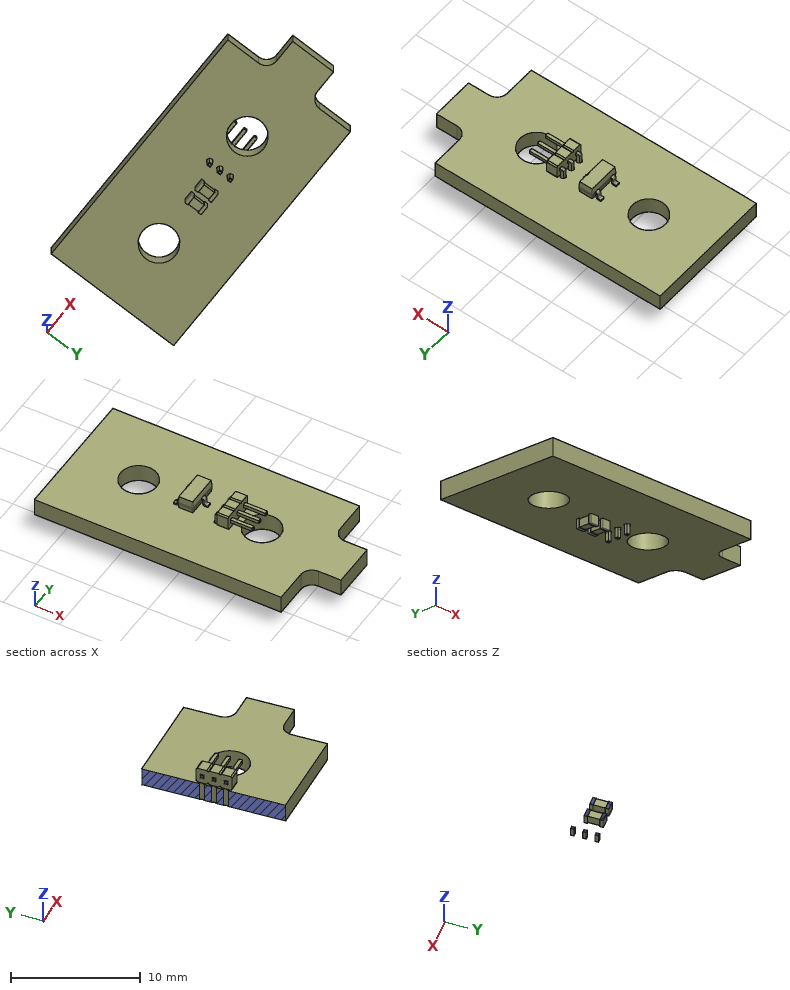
import cadquery as cq


BOARD_LENGTH = 22.0
BOARD_WIDTH = 12.0
BOARD_THICKNESS = 1.57
TAB_LENGTH = 3.0
TAB_WIDTH = 4.0
TAB_CORNER_RADIUS = 1.0
MOUNT_HOLE_DIAMETER = 3.2
MOUNT_HOLE_X = (5.8, 16.8)
PIN_HOLE_DIAMETER = 0.5

STANDOFF = 0.03

SOT_X = 10.76
SOT_Y = 0.11
SOT_LENGTH = 3.0
SOT_WIDTH = 1.38
SOT_TOP = 1.3
SOT_BOTTOM = 0.18
SOT_DRAFT = 8.0
SOT_CORNER_RADIUS = 0.1
LEAD_THICKNESS = 0.15
LEAD_WIDTH = 0.4
LEAD_PITCH = 1.9
LEAD_SPAN = 2.5
LEAD_LEG_SPAN = 1.86
LEAD_BEND_RADIUS = 0.08
SOT_BAND_BOTTOM = 0.6
SOT_BAND_TOP = SOT_BAND_BOTTOM + LEAD_THICKNESS

PIN_COUNT = 3
PIN_PITCH = 1.0
PIN_SIZE = 0.3
PIN_X = 13.42
PIN_ROW_Y = -0.02
PIN_TAIL_BOTTOM = -2.42
PIN_BEND_RADIUS = 0.15
PIN_TIP_CHAMFER = 0.06
HEADER_START_X = 13.65
HEADER_DEPTH = 1.0
HEADER_TOP = 1.35
HEADER_HEIGHT = HEADER_TOP - STANDOFF
HEADER_CHAMFER = 0.115
PIN_REACH = 2.0
PIN_Y = [PIN_ROW_Y + (i - (PIN_COUNT - 1) / 2) * PIN_PITCH for i in range(PIN_COUNT)]

CAPACITOR_X = (10.24, 11.52)
CAPACITOR_Y = 0.15
CAPACITOR_LENGTH = 1.6
CAPACITOR_SIZE = 0.82
TERMINAL_LENGTH = 0.3
TERMINAL_FILLET = 0.02
CAPACITOR_INSET = 0.06


def make_board():
    """Plate with a narrower end tab, two mounting holes and a hole for each header pin."""
    half_width = BOARD_WIDTH / 2
    half_tab = TAB_WIDTH / 2
    tab_root = half_tab + TAB_CORNER_RADIUS
    tab_start = BOARD_LENGTH + TAB_CORNER_RADIUS
    tab_end = BOARD_LENGTH + TAB_LENGTH
    board = (
        cq.Workplane("XY")
        .moveTo(0, -half_width)
        .lineTo(BOARD_LENGTH, -half_width)
        .lineTo(BOARD_LENGTH, -tab_root)
        .radiusArc((tab_start, -half_tab), TAB_CORNER_RADIUS)
        .lineTo(tab_end, -half_tab)
        .lineTo(tab_end, half_tab)
        .lineTo(tab_start, half_tab)
        .radiusArc((BOARD_LENGTH, tab_root), TAB_CORNER_RADIUS)
        .lineTo(BOARD_LENGTH, half_width)
        .lineTo(0, half_width)
        .close()
        .extrude(-BOARD_THICKNESS)
    )
    mount_holes = (
        cq.Workplane("XY")
        .pushPoints([(x, 0) for x in MOUNT_HOLE_X])
        .circle(MOUNT_HOLE_DIAMETER / 2)
        .extrude(-BOARD_THICKNESS)
    )
    pin_holes = (
        cq.Workplane("XY")
        .pushPoints([(PIN_X, y) for y in PIN_Y])
        .circle(PIN_HOLE_DIAMETER / 2)
        .extrude(-BOARD_THICKNESS)
    )
    return board.cut(mount_holes).cut(pin_holes)


def make_lead(y):
    """Gull-wing lead leaving the package centre toward +X, centred at y."""
    leg_outside = LEAD_LEG_SPAN / 2
    leg_inside = leg_outside - LEAD_THICKNESS
    inner = LEAD_BEND_RADIUS
    outer = LEAD_BEND_RADIUS + LEAD_THICKNESS
    upper_centre_x = leg_outside - outer
    lower_centre_x = leg_inside + outer
    upper_centre_z = SOT_BAND_TOP - outer
    foot_top = STANDOFF + LEAD_THICKNESS
    lower_centre_z = STANDOFF + outer
    lead = (
        cq.Workplane("XZ")
        .moveTo(0, SOT_BAND_BOTTOM)
        .lineTo(upper_centre_x, SOT_BAND_BOTTOM)
        .radiusArc((leg_inside, upper_centre_z), inner)
        .lineTo(leg_inside, lower_centre_z)
        .radiusArc((lower_centre_x, STANDOFF), -outer)
        .lineTo(LEAD_SPAN / 2, STANDOFF)
        .lineTo(LEAD_SPAN / 2, foot_top)
        .lineTo(lower_centre_x, foot_top)
        .radiusArc((leg_outside, lower_centre_z), inner)
        .lineTo(leg_outside, upper_centre_z)
        .radiusArc((upper_centre_x, SOT_BAND_TOP), -outer)
        .lineTo(0, SOT_BAND_TOP)
        .close()
        .extrude(LEAD_WIDTH / 2, both=True)
    )
    return lead.translate((0, y, 0))


def make_sot():
    """Moulded body tapering up and down from a straight middle band, with three leads."""
    outline = cq.Sketch().rect(SOT_WIDTH, SOT_LENGTH).vertices().fillet(SOT_CORNER_RADIUS)
    band_bottom = cq.Workplane("XY", origin=(0, 0, SOT_BAND_BOTTOM)).placeSketch(outline)
    band_top = cq.Workplane("XY", origin=(0, 0, SOT_BAND_TOP)).placeSketch(outline)
    band = band_bottom.extrude(LEAD_THICKNESS)
    upper = band_top.extrude(SOT_TOP - SOT_BAND_TOP, taper=SOT_DRAFT)
    lower = band_bottom.extrude(SOT_BOTTOM - SOT_BAND_BOTTOM, taper=SOT_DRAFT)
    package = band.union(upper).union(lower).union(make_lead(0))
    for y in (-LEAD_PITCH / 2, LEAD_PITCH / 2):
        package = package.union(make_lead(y).mirror("YZ"))
    return package.translate((SOT_X, SOT_Y, 0))


def make_header_pin(y):
    """Square pin bent from a vertical tail to a horizontal contact, both tips chamfered."""
    half = PIN_SIZE / 2
    middle_z = (HEADER_TOP + STANDOFF) / 2
    tip_x = HEADER_START_X + HEADER_DEPTH + PIN_REACH
    pin = (
        cq.Workplane("XZ")
        .moveTo(PIN_X - half, PIN_TAIL_BOTTOM)
        .lineTo(PIN_X + half, PIN_TAIL_BOTTOM)
        .lineTo(PIN_X + half, middle_z - half)
        .lineTo(tip_x, middle_z - half)
        .lineTo(tip_x, middle_z + half)
        .lineTo(PIN_X - half + PIN_BEND_RADIUS, middle_z + half)
        .radiusArc((PIN_X - half, middle_z + half - PIN_BEND_RADIUS), -PIN_BEND_RADIUS)
        .close()
        .extrude(half, both=True)
    )
    pin = pin.faces("<Z or >X").edges().chamfer(PIN_TIP_CHAMFER)
    return pin.translate((0, y, 0))


def make_header():
    """One chamfered block per pin, joined side by side, with the pins through them."""
    header = cq.Workplane("XY")
    for y in PIN_Y:
        block = (
            cq.Workplane("XY")
            .box(HEADER_DEPTH, PIN_PITCH, HEADER_HEIGHT, centered=(False, True, False))
            .edges("|X")
            .chamfer(HEADER_CHAMFER)
            .translate((HEADER_START_X, y, STANDOFF))
        )
        header = header.union(block).union(make_header_pin(y))
    return header


def make_capacitor(x):
    """Ceramic block lying along Y between two slightly larger end terminals."""
    core_size = CAPACITOR_SIZE - 2 * CAPACITOR_INSET
    capacitor = cq.Workplane("XY").box(core_size, CAPACITOR_LENGTH - TERMINAL_LENGTH, core_size)
    terminal_y = (CAPACITOR_LENGTH - TERMINAL_LENGTH) / 2
    for y, inner_face in ((-terminal_y, ">Y"), (terminal_y, "<Y")):
        terminal = (
            cq.Workplane("XY")
            .box(CAPACITOR_SIZE, TERMINAL_LENGTH, CAPACITOR_SIZE)
            .edges(f"not {inner_face}")
            .fillet(TERMINAL_FILLET)
            .translate((0, y, 0))
        )
        capacitor = capacitor.union(terminal)
    centre_z = -BOARD_THICKNESS - STANDOFF - CAPACITOR_SIZE / 2
    return capacitor.translate((x, CAPACITOR_Y, centre_z))


board = make_board()
sot_package = make_sot()
header = make_header()
capacitors = [make_capacitor(x) for x in CAPACITOR_X]

result = cq.Compound.makeCompound(
    [board.val(), sot_package.val(), header.val(), *[c.val() for c in capacitors]]
)